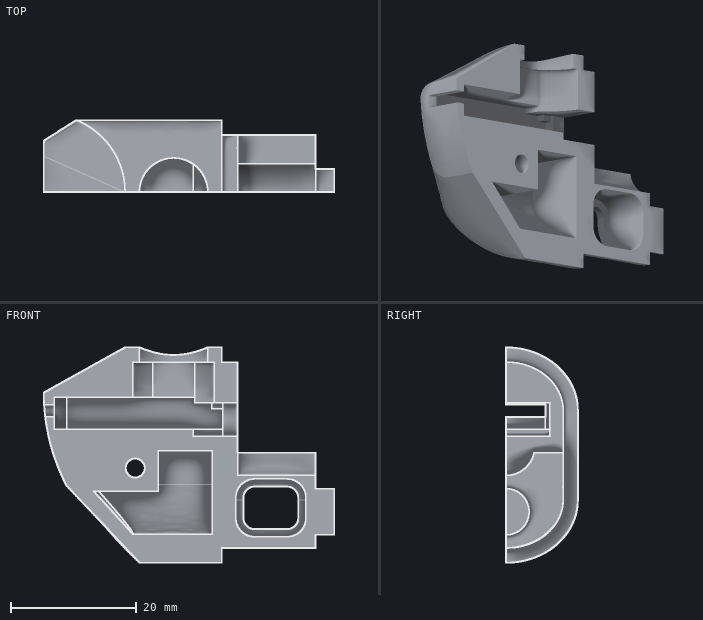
import cadquery as cq
import math


HEIGHT = 34.41
DEPTH = 11.5
CUT_CLEARANCE = 1.0
CROWN = 10.08
BODY_END = 28.44
TOP_START_X = 13.0
TOP_SIDE_X = 5.2
BOTTOM_START_X = 15.35
BOTTOM_SIDE_X = 8.0

NOSE_TOP = 27.17
NOSE_BOTTOM = 12.33
NOSE_DEPTH = 8.27
NOSE_CORNER = 2.5
NOSE_RADIUS = 32.0

CURVE_STEPS = 12
SIDE_STEPS = 11

STEP = 2.36
COLLAR_END = 30.94
BLOCK_END = 43.38
BLOCK_TOP = 17.6
SCOOP_RADIUS = 4.6
SCOOP_BOTTOM = 13.95
TAB_END = 46.39
TAB_RADIUS = 3.7
TAB_Z = 8.16

BORE_X = 20.74
MOUTH_RADIUS = 5.46
BORE_RADIUS = 6.5
BORE_TOP = HEIGHT - STEP
BORE_FLAT_Y = 5.57

SLOT_START = 1.71
SLOT_FULL_START = 3.66
SLOT_END = 28.57
SLOT_BOTTOM = 21.35
SLOT_TOP = 26.4
SLOT_DEPTH = 8.85
MOUTH_SLIT_BOTTOM = 23.3
MOUTH_SLIT_TOP = 25.25
MOUTH_SLIT_DEPTH = 6.28
LOW_CEILING_X = 24.08
OUTLET_START = 23.9
OUTLET_BOTTOM = 20.23
OUTLET_TOP = 25.53
OUTLET_DEPTH = 7.0
OUTLET_RECESS = 0.5
LUG_START = 26.86
LUG_BOTTOM = 24.6

POCKET_LEFT = 7.99
POCKET_SLOPE_END = 14.23
POCKET_STEP_X = 18.31
POCKET_RIGHT = 26.9
POCKET_BOTTOM = 4.6
POCKET_STEP_Z = 11.44
POCKET_TOP = 17.89
POCKET_FLOOR_Y = 9.9
POCKET_CURVE_TOP = 12.56
POCKET_DRAFT_SHIFT = 0.8

WINDOW_X = 36.25
WINDOW_Z = 8.79
WINDOW_LENGTH = 11.2
WINDOW_HEIGHT = 9.22
WINDOW_CORNER = 3.0
WINDOW_RIM = 1.24
LEDGE_Y = 7.7
LEDGE_CURVE = 6.4

PIN_X = 14.62
PIN_Z = 15.14
PIN_DIAMETER = 3.0


def box(x, y, z):
    """Box between the given (low, high) limits along each axis."""
    return cq.Workplane("XY").box(
        x[1] - x[0], y[1] - y[0], z[1] - z[0], centered=False
    ).translate((x[0], y[0], z[0]))


def shell_bar(x_start, x_end, inset):
    """Bar along X whose section is the shell section moved inwards by `inset`."""
    section = (
        cq.Workplane("YZ", origin=(x_start, 0, 0))
        .moveTo(0, inset)
        .ellipseArc(DEPTH - inset, CROWN - inset, 270, 360, startAtCurrent=True)
        .lineTo(DEPTH - inset, HEIGHT - CROWN)
        .ellipseArc(DEPTH - inset, CROWN - inset, 0, 90, startAtCurrent=True)
        .close()
    )
    return section.extrude(x_end - x_start)


def smooth_edge(points):
    """Spline that gives each point the same weight, so that two edges pair up point by point."""
    return cq.Edge.makeSpline(
        [cq.Vector(*point) for point in points], parameters=list(range(len(points)))
    )


def rounded_side(depth, radius_y, radius_z, low, high):
    """(y, z) points down a flat side of the given depth, with a rounding above and below it."""
    angles = [math.pi / 2 * i / CURVE_STEPS for i in range(CURVE_STEPS + 1)]
    rounding = [
        (depth - radius_y + radius_y * math.sin(a), radius_z * (1 - math.cos(a))) for a in angles
    ]
    flat_step = (high - low - 2 * radius_z) / SIDE_STEPS
    upper = [(y, high - drop) for y, drop in rounding]
    flat = [(depth, high - radius_z - flat_step * i) for i in range(1, SIDE_STEPS)]
    lower = [(y, low + drop) for y, drop in reversed(rounding)]
    return upper + flat + lower


def planar_face(edges):
    return cq.Face.makeFromWires(cq.Wire.assembleEdges(edges))


def nose_x(z):
    """X of the cylindrical nose front at height z."""
    return NOSE_RADIUS - math.sqrt(NOSE_RADIUS**2 - (NOSE_TOP - z) ** 2)


def rim_x(y, tip_x, side_x):
    """X of a taper rim, an arc in plan from `tip_x` on the parting face to `side_x` at full depth."""
    centre = (tip_x**2 - side_x**2 - DEPTH**2) / (2 * (tip_x - side_x))
    return centre + math.sqrt((tip_x - centre) ** 2 - y**2)


def rim_points(section):
    """Where the nose taper meets the shell, for the (y, z) points of the shell section."""
    side_height = HEIGHT - 2 * CROWN
    points = []
    for y, z in section:
        if z > HEIGHT - CROWN:
            x = rim_x(y, TOP_START_X, TOP_SIDE_X)
        elif z < CROWN:
            x = rim_x(y, BOTTOM_START_X, BOTTOM_SIDE_X)
        else:
            x = BOTTOM_SIDE_X + (TOP_SIDE_X - BOTTOM_SIDE_X) * (z - CROWN) / side_height
        points.append((x, y, z))
    return points


def main_body():
    """Shell with an elliptical section that tapers to a smaller, cylindrical nose front."""
    line = cq.Edge.makeLine
    ruled = cq.Face.makeRuledSurface
    shell_section = rounded_side(DEPTH, DEPTH, CROWN, 0, HEIGHT)
    nose_section = rounded_side(NOSE_DEPTH, NOSE_CORNER, NOSE_CORNER, NOSE_BOTTOM, NOSE_TOP)

    nose_edge = smooth_edge([(nose_x(z), y, z) for y, z in nose_section])
    rim = smooth_edge(rim_points(shell_section))
    end_edge = smooth_edge([(BODY_END, y, z) for y, z in shell_section])
    parting_edge = smooth_edge([(nose_x(z), 0, z) for _, z in nose_section])

    flat_faces = []
    spokes = []
    for nose_z, tip_x, tip_z in ((NOSE_TOP, TOP_START_X, HEIGHT), (NOSE_BOTTOM, BOTTOM_START_X, 0)):
        front = cq.Vector(nose_x(nose_z), 0, nose_z)
        corner = front + cq.Vector(0, NOSE_DEPTH - NOSE_CORNER, 0)
        tip = cq.Vector(tip_x, 0, tip_z)
        end = cq.Vector(BODY_END, 0, tip_z)
        flat_faces.append(planar_face([line(front, corner), line(corner, tip), line(tip, front)]))
        spokes += [line(front, tip), line(tip, end)]

    end_line = line(cq.Vector(BODY_END, 0, 0), cq.Vector(BODY_END, 0, HEIGHT))
    faces = [
        ruled(parting_edge, nose_edge),
        ruled(nose_edge, rim),
        ruled(rim, end_edge),
        planar_face([end_edge, end_line]),
        planar_face([parting_edge, *spokes, end_line]),
        *flat_faces,
    ]
    return cq.Workplane(cq.Solid.makeSolid(cq.Shell.makeShell(faces)))


def rear():
    """Collar, lower block with a scooped top edge, and half-round tab."""
    collar = shell_bar(BODY_END, COLLAR_END, STEP)
    block = shell_bar(COLLAR_END, BLOCK_END, STEP).intersect(
        box((COLLAR_END, BLOCK_END), (0, DEPTH), (0, BLOCK_TOP))
    )
    scoop = (
        cq.Workplane("YZ", origin=(COLLAR_END, 0, 0))
        .center(0, SCOOP_BOTTOM + SCOOP_RADIUS)
        .circle(SCOOP_RADIUS)
        .extrude(BLOCK_END - COLLAR_END)
    )
    tab = (
        cq.Workplane("YZ", origin=(BLOCK_END, 0, 0))
        .moveTo(0, TAB_Z - TAB_RADIUS)
        .threePointArc((TAB_RADIUS, TAB_Z), (0, TAB_Z + TAB_RADIUS))
        .close()
        .extrude(TAB_END - BLOCK_END)
    )
    return collar.union(block.cut(scoop)).union(tab)


def upright_cylinder(radius, z_start, z_end):
    return (
        cq.Workplane("XY", origin=(BORE_X, 0, z_start)).circle(radius).extrude(z_end - z_start)
    )


def bore():
    """Round mouth in the top, and a wider bore with a flat back below it."""
    mouth = upright_cylinder(MOUTH_RADIUS, BORE_TOP, HEIGHT + CUT_CLEARANCE)
    wide = upright_cylinder(BORE_RADIUS, SLOT_BOTTOM, BORE_TOP).intersect(
        box((0, BODY_END), (0, BORE_FLAT_Y), (0, HEIGHT))
    )
    return mouth.union(wide)


def slot():
    """Long slot with a slanted start, open to the nose by a slit and to the rear by an outlet."""
    plan = [
        (SLOT_START, 0),
        (SLOT_START, MOUTH_SLIT_DEPTH),
        (SLOT_FULL_START, SLOT_DEPTH),
        (SLOT_END, SLOT_DEPTH),
        (SLOT_END, 0),
    ]
    main = (
        cq.Workplane("XY", origin=(0, 0, SLOT_BOTTOM))
        .polyline(plan)
        .close()
        .extrude(SLOT_TOP - SLOT_BOTTOM)
    )
    low_ceiling = box((LOW_CEILING_X, SLOT_END), (0, DEPTH), (OUTLET_TOP, SLOT_TOP))
    recess_depth = OUTLET_DEPTH + OUTLET_RECESS
    lug = box((LUG_START, SLOT_END), (recess_depth, DEPTH), (LUG_BOTTOM, SLOT_TOP))
    slit = box((0, SLOT_START), (0, MOUTH_SLIT_DEPTH), (MOUTH_SLIT_BOTTOM, MOUTH_SLIT_TOP))
    outlet_z = (OUTLET_BOTTOM, OUTLET_TOP)
    recess = box((OUTLET_START, SLOT_END), (0, recess_depth), outlet_z)
    outlet = box((SLOT_END, COLLAR_END), (0, OUTLET_DEPTH), outlet_z)
    return main.cut(low_ceiling).cut(lug).union(slit).union(recess).union(outlet)


def curved_floor_bar(depth, curve_bottom, curve_top):
    """Bar along X filling y = 0 to `depth`, with an elliptical lower edge."""
    section = (
        cq.Workplane("YZ")
        .moveTo(0, curve_bottom)
        .ellipseArc(depth, curve_top - curve_bottom, 270, 360, startAtCurrent=True)
        .lineTo(depth, HEIGHT)
        .lineTo(0, HEIGHT)
        .close()
    )
    return section.extrude(BLOCK_END)


def pocket_outline(plane, shift):
    """Pocket outline with its sloped side moved by `shift` along X."""
    return (
        plane.moveTo(POCKET_LEFT + shift, POCKET_STEP_Z)
        .lineTo(POCKET_STEP_X, POCKET_STEP_Z)
        .lineTo(POCKET_STEP_X, POCKET_TOP)
        .lineTo(POCKET_RIGHT, POCKET_TOP)
        .lineTo(POCKET_RIGHT, POCKET_BOTTOM)
        .lineTo(POCKET_SLOPE_END + shift, POCKET_BOTTOM)
        .close()
    )


def pocket():
    """Stepped pocket whose floor follows the rounding of the shell."""
    opening = pocket_outline(cq.Workplane("XZ"), 0)
    prism = pocket_outline(
        opening.workplane(offset=-POCKET_FLOOR_Y), POCKET_DRAFT_SHIFT
    ).loft(ruled=True)
    return prism.intersect(curved_floor_bar(POCKET_FLOOR_Y, POCKET_BOTTOM, POCKET_CURVE_TOP))


def rounded_window(inset):
    """Rounded rectangular prism through the block, `inset` smaller on every side."""
    return (
        cq.Workplane("XZ")
        .center(WINDOW_X, WINDOW_Z)
        .rect(WINDOW_LENGTH - 2 * inset, WINDOW_HEIGHT - 2 * inset)
        .extrude(-DEPTH - CUT_CLEARANCE)
        .edges("|Y")
        .fillet(WINDOW_CORNER - inset)
    )


def window():
    """Window through the block with a curved ledge around it."""
    ledge = rounded_window(0).intersect(
        curved_floor_bar(LEDGE_Y, CROWN - LEDGE_CURVE, CROWN)
    )
    return ledge.union(rounded_window(WINDOW_RIM))


def pin_hole():
    hole = cq.Workplane("XZ").center(PIN_X, PIN_Z).circle(PIN_DIAMETER / 2)
    return hole.extrude(-DEPTH - CUT_CLEARANCE)


result = main_body().union(rear())
for cutter in (bore(), slot(), pocket(), window(), pin_hole()):
    result = result.cut(cutter)